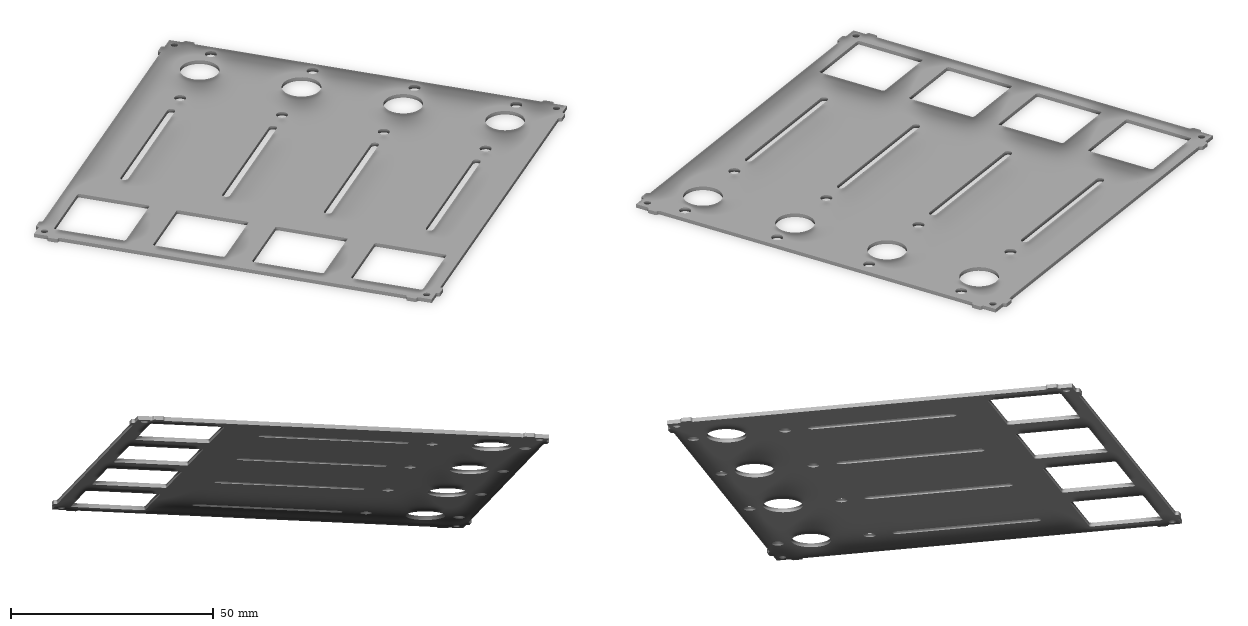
import cadquery as cq

overall_size = 105.6
thickness = 1.0
tab_height = 0.8
body_size = overall_size - 2 * tab_height

tab_center = 46.9
tab_middle_width = 2.7
tab_round = tab_height / 2

corner_hole_diameter = 1.8
corner_hole_offset = 50.0

channel_count = 4
channel_pitch = 26.6
small_hole_diameter = 3.0
upper_small_hole_y = 48.5
lower_small_hole_y = 24.9
large_hole_diameter = 9.8
large_hole_y = 39.9
slot_width = 2.0
slot_length = 38.0

window_pitch = 25.9
window_size = 18.8
window_y = -38.6
window_corner_radius = 0.5


def row(pitch, y):
    """Points of a row centred on X = 0, one per channel."""
    return [((i - (channel_count - 1) / 2) * pitch, y) for i in range(channel_count)]


def edge_tabs():
    """The two tabs on the +Y side, rooted at the plate edge."""
    root_y = body_size / 2
    middle_y = root_y + tab_round
    tip_y = root_y + tab_height
    middle_x = tab_middle_width / 2
    root_x = middle_x + tab_round
    tip_x = middle_x - tab_round
    tab = (
        cq.Workplane("XY")
        .moveTo(-root_x, root_y)
        .radiusArc((-middle_x, middle_y), -tab_round)
        .radiusArc((-tip_x, tip_y), tab_round)
        .lineTo(tip_x, tip_y)
        .radiusArc((middle_x, middle_y), tab_round)
        .radiusArc((root_x, root_y), -tab_round)
        .close()
        .extrude(thickness)
    )
    left_tab = tab.translate((-tab_center, 0, 0))
    right_tab = tab.translate((tab_center, 0, 0))
    return left_tab.union(right_tab)


def round_holes(points, diameter):
    return cq.Workplane("XY").pushPoints(points).circle(diameter / 2).extrude(thickness)


plate = cq.Workplane("XY").rect(body_size, body_size).extrude(thickness)
for side in range(4):
    plate = plate.union(edge_tabs().rotate((0, 0, 0), (0, 0, 1), 90 * side))

corners = [(x, y) for x in (-corner_hole_offset, corner_hole_offset)
           for y in (-corner_hole_offset, corner_hole_offset)]
plate = plate.cut(round_holes(corners, corner_hole_diameter))

for hole_y, hole_diameter in (
    (upper_small_hole_y, small_hole_diameter),
    (large_hole_y, large_hole_diameter),
    (lower_small_hole_y, small_hole_diameter),
):
    plate = plate.cut(round_holes(row(channel_pitch, hole_y), hole_diameter))

slots = (
    cq.Workplane("XY")
    .pushPoints(row(channel_pitch, 0))
    .slot2D(slot_length, slot_width, 90)
    .extrude(thickness)
)
plate = plate.cut(slots)

windows = (
    cq.Workplane("XY")
    .pushPoints(row(window_pitch, window_y))
    .rect(window_size, window_size)
    .extrude(thickness)
    .edges("|Z")
    .fillet(window_corner_radius)
)
result = plate.cut(windows)